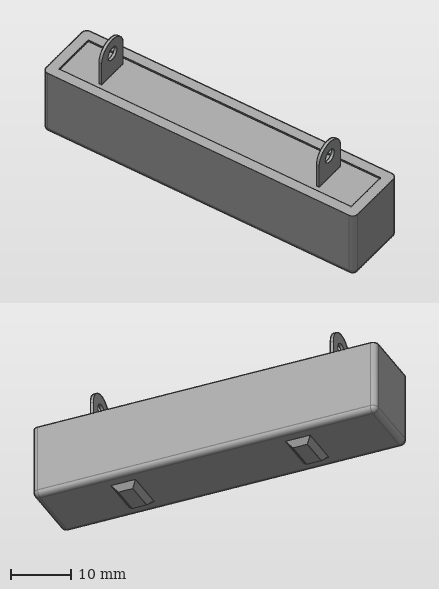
import cadquery as cq

length = 63.0
width = 12.5
total_height = 22.0
edge_radius = 1.0

rim = 1.95
recess_depth = 0.3

tab_rise = 7.5
tab_width = 6.3
tab_thickness = 0.55
tab_spacing = 44.0
tab_hole_diameter = 2.6

foot_height = 1.0
foot_length = 4.55
foot_width = 7.4
foot_inset = 0.95
foot_spacing = 32.0

body_height = total_height - tab_rise - foot_height
recess_floor = body_height - recess_depth


def make_body():
    """Box with rounded upright and bottom edges and a recessed top."""
    body = (
        cq.Workplane("XY")
        .box(length, width, body_height, centered=(True, True, False))
        .edges("|Z or <Z")
        .fillet(edge_radius)
    )
    recess = (
        cq.Workplane("XY", origin=(0, 0, recess_floor))
        .rect(length - 2 * rim, width - 2 * rim)
        .extrude(recess_depth)
    )
    return body.cut(recess)


def make_tab(x):
    """Round-topped plate with a hole concentric with its top."""
    half_width = tab_width / 2
    top = body_height + tab_rise
    arc_center = top - half_width
    return (
        cq.Workplane("YZ", origin=(x, 0, 0))
        .moveTo(-half_width, recess_floor)
        .lineTo(half_width, recess_floor)
        .lineTo(half_width, arc_center)
        .threePointArc((0, top), (-half_width, arc_center))
        .close()
        .moveTo(0, arc_center)
        .circle(tab_hole_diameter / 2)
        .extrude(tab_thickness / 2, both=True)
    )


def make_foot(x):
    """Rectangular foot that narrows downwards."""
    return (
        cq.Workplane("XY", origin=(x, 0, 0))
        .rect(foot_length, foot_width)
        .workplane(offset=-foot_height)
        .rect(foot_length - 2 * foot_inset, foot_width - 2 * foot_inset)
        .loft(ruled=True)
    )


result = make_body()
for side in (-1, 1):
    result = result.union(make_tab(side * tab_spacing / 2))
    result = result.union(make_foot(side * foot_spacing / 2))